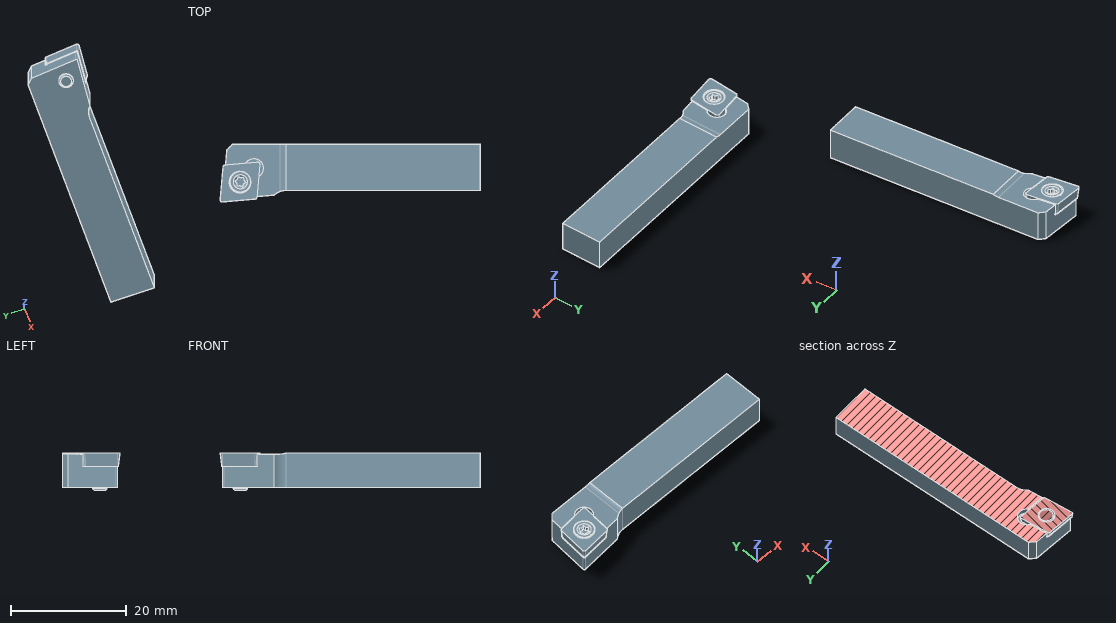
import cadquery as cq
import math


tool_length = 45.0
shank_width = 8.0
shank_height = 6.0
shank_front_y = 2.0
shank_back_y = shank_front_y + shank_width
neck_end_x = 11.4
neck_radius = 3.0
head_top_drop = 0.2
head_top_z = shank_height - head_top_drop
head_wall_offset = 0.40
head_nose_radius = 0.25
head_back_chamfer = 1.0
relief_centre = 5.85
relief_radius = 1.65

insert_circle_diameter = 6.35
insert_thickness = 2.38
insert_angle = 80.0
insert_corner_radius = 0.4
insert_clearance_angle = 7.0
insert_top_z = shank_height
insert_floor_z = insert_top_z - insert_thickness
insert_hole_radius = 1.4
insert_seat_radius = 1.88
seat_half_angle = math.radians(30)

screw_radius = 1.25
screw_pull = 0.085
head_sink = 0.05
seat_play = 0.005
screw_tip_overhang = 0.5
screw_tip_chamfer = 0.3
socket_mouth_radius = 1.22
socket_lobe_radius = 0.95
socket_valley_radius = 0.68
socket_lobe_count = 6
socket_turn = -7.0
socket_cone_slope = math.radians(30)
socket_depth = 1.2

cut_margin = 1.0
half_angle = math.radians(insert_angle / 2)
edge_tilt = math.radians((90 - insert_angle) / 2)
edge_slope = math.tan(edge_tilt)
diagonal = math.sqrt(0.5)
insert_side = insert_circle_diameter / math.sin(2 * half_angle)
sharp_tip = insert_corner_radius * (1 - diagonal / math.sin(half_angle))
insert_centre = sharp_tip + diagonal * (insert_circle_diameter / 2) / math.sin(half_angle)
screw_centre = insert_centre + screw_pull * diagonal


def rounded_rhombus(z):
    """Outline of the insert's top face, on a plane at height z."""
    long_run = insert_side * math.cos(edge_tilt)
    short_run = insert_side * math.sin(edge_tilt)
    near = sharp_tip
    far = sharp_tip + long_run + short_run
    corners = [
        (near, near),
        (near + long_run, near + short_run),
        (far, far),
        (near + short_run, near + long_run),
    ]
    outline = cq.Sketch().polygon(corners + corners[:1]).vertices().fillet(insert_corner_radius)
    return cq.Workplane("XY", origin=(0, 0, z)).placeSketch(outline)


def make_holder_blank():
    """Shank and head with the side neck, nose radius and back chamfer."""
    wall_shift = head_wall_offset / math.cos(edge_tilt)
    nose = sharp_tip + wall_shift / (1 - edge_slope)

    def wall_position(along):
        return nose + edge_slope * (along - nose)

    neck_centre_y = shank_front_y - neck_radius
    to_centre_x = neck_end_x - nose
    to_centre_y = neck_centre_y - nose
    centre_along_wall = to_centre_x * math.cos(edge_tilt) + to_centre_y * math.sin(edge_tilt)
    centre_off_wall = to_centre_y * math.cos(edge_tilt) - to_centre_x * math.sin(edge_tilt)
    wall_length = centre_along_wall - math.sqrt(neck_radius**2 - centre_off_wall**2)
    neck_start_x = nose + wall_length * math.cos(edge_tilt)
    neck_start_y = wall_position(neck_start_x)
    neck_mid_angle = math.asin((neck_end_x - neck_start_x) / neck_radius) / 2
    neck_mid_x = neck_end_x - neck_radius * math.sin(neck_mid_angle)
    neck_mid_y = neck_centre_y + neck_radius * math.cos(neck_mid_angle)
    chamfer_y = shank_back_y - head_back_chamfer
    chamfer_x = wall_position(chamfer_y)
    blank = (
        cq.Workplane("XY")
        .moveTo(nose, nose)
        .lineTo(neck_start_x, neck_start_y)
        .threePointArc((neck_mid_x, neck_mid_y), (neck_end_x, shank_front_y))
        .lineTo(tool_length, shank_front_y)
        .lineTo(tool_length, shank_back_y)
        .lineTo(chamfer_x + head_back_chamfer, shank_back_y)
        .lineTo(chamfer_x, chamfer_y)
        .close()
        .extrude(shank_height)
    )
    return blank.edges(cq.NearestToPointSelector((nose, nose, shank_height / 2))).fillet(head_nose_radius)


def make_head_top_cut():
    """Lowers the head top and blends it up to the shank with a concave arc."""
    arc_start_x = neck_end_x - math.sqrt(neck_radius**2 - (neck_radius - head_top_drop) ** 2)
    mid_angle = math.asin((neck_end_x - arc_start_x) / neck_radius) / 2
    arc_mid_x = arc_start_x + neck_radius * math.sin(mid_angle)
    arc_mid_z = head_top_z + neck_radius * (1 - math.cos(mid_angle))
    return (
        cq.Workplane("XZ", origin=(0, shank_back_y + cut_margin, 0))
        .moveTo(-cut_margin, head_top_z)
        .lineTo(arc_start_x, head_top_z)
        .threePointArc((arc_mid_x, arc_mid_z), (neck_end_x, shank_height))
        .lineTo(neck_end_x, shank_height + cut_margin)
        .lineTo(-cut_margin, shank_height + cut_margin)
        .close()
        .extrude(shank_back_y + 2 * cut_margin)
    )


def make_pocket():
    """Straight-walled seat for the insert, with the drilled corner relief.

    The holder nose lies inside the insert outline, so the seat is open on both cutting edges.
    """
    seat = rounded_rhombus(insert_floor_z).extrude(insert_thickness)
    relief = (
        cq.Workplane("XY", origin=(relief_centre, relief_centre, insert_floor_z))
        .circle(relief_radius)
        .extrude(insert_thickness)
    )
    return seat.union(relief)


def make_holder():
    screw_hole = (
        cq.Workplane("XY", origin=(screw_centre, screw_centre, 0))
        .circle(screw_radius)
        .extrude(shank_height)
    )
    return make_holder_blank().cut(make_head_top_cut()).cut(make_pocket()).cut(screw_hole)


def make_insert():
    """Rhombic insert narrowing downward, with a countersunk through hole."""
    flanks = rounded_rhombus(insert_top_z).extrude(-insert_thickness, taper=insert_clearance_angle)
    seat_depth = (insert_seat_radius - insert_hole_radius) / math.tan(seat_half_angle)
    hole = (
        cq.Workplane("XZ", origin=(insert_centre, insert_centre, 0))
        .moveTo(0, insert_floor_z)
        .lineTo(insert_hole_radius, insert_floor_z)
        .lineTo(insert_hole_radius, insert_top_z - seat_depth)
        .lineTo(insert_seat_radius, insert_top_z)
        .lineTo(0, insert_top_z)
        .close()
        .revolve(360, (0, 0, 0), (0, 1, 0))
    )
    return flanks.cut(hole)


def make_socket(face_z):
    """Six-lobed driver recess with a shallow lead-in cone, opening at height face_z."""
    step = math.pi / socket_lobe_count
    outline = []
    for index in range(2 * socket_lobe_count):
        radius = socket_valley_radius if index % 2 else socket_lobe_radius
        outline.append((radius * math.cos(index * step), radius * math.sin(index * step)))
    star = (
        cq.Workplane("XY", origin=(screw_centre, screw_centre, face_z))
        .transformed(rotate=(0, 0, socket_turn))
        .polyline(outline)
        .close()
        .extrude(-socket_depth)
    )
    cone_depth = (socket_mouth_radius - socket_valley_radius) * math.tan(socket_cone_slope)
    cone = cq.Workplane(
        cq.Solid.makeCone(
            socket_valley_radius,
            socket_mouth_radius,
            cone_depth,
            cq.Vector(screw_centre, screw_centre, face_z - cone_depth),
        )
    )
    return star.union(cone)


def make_screw():
    """Countersunk screw through the insert and holder, its chamfered tip standing out below."""
    face_z = insert_top_z - head_sink
    seat_radius_at_face = insert_seat_radius - head_sink * math.tan(seat_half_angle)
    head_radius = seat_radius_at_face - screw_pull - seat_play
    head_depth = (head_radius - screw_radius) / math.tan(seat_half_angle)
    body = (
        cq.Workplane("XZ", origin=(screw_centre, screw_centre, 0))
        .moveTo(0, -screw_tip_overhang)
        .lineTo(screw_radius - screw_tip_chamfer, -screw_tip_overhang)
        .lineTo(screw_radius, screw_tip_chamfer - screw_tip_overhang)
        .lineTo(screw_radius, face_z - head_depth)
        .lineTo(head_radius, face_z)
        .lineTo(0, face_z)
        .close()
        .revolve(360, (0, 0, 0), (0, 1, 0))
    )
    return body.cut(make_socket(face_z))


holder = make_holder()
insert = make_insert()
screw = make_screw()

result = cq.Compound.makeCompound([holder.solids().val(), insert.solids().val(), screw.solids().val()])